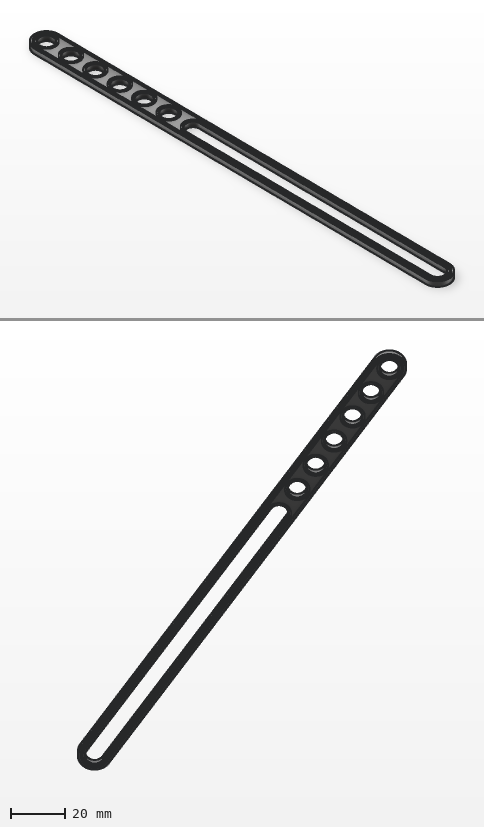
import cadquery as cq

LENGTH = 212.5
THICKNESS = 3.2
PITCHES_PER_LENGTH = 17
HOLE_COUNT = 6
HOLE_DIAMETER = 7.0
RIM_DIAMETER = 9.1
BORDER_WIDTH = 1.1
RECESS_DEPTH = 0.32
EDGE_CHAMFER = 0.32

PITCH = LENGTH / PITCHES_PER_LENGTH
WIDTH = PITCH
FIRST_HOLE_X = (PITCH - LENGTH) / 2
HOLE_CENTERS = [(FIRST_HOLE_X + i * PITCH, 0) for i in range(HOLE_COUNT)]

SLOT_START_X = FIRST_HOLE_X + HOLE_COUNT * PITCH
SLOT_END_X = -FIRST_HOLE_X
SLOT_CENTER_X = (SLOT_START_X + SLOT_END_X) / 2
SLOT_CENTER_DISTANCE = SLOT_END_X - SLOT_START_X


def bar_shape(inset, height):
    """Bar outline with full-round ends, moved inward by inset and extruded up from Z = 0."""
    return cq.Workplane("XY").slot2D(LENGTH - 2 * inset, WIDTH - 2 * inset).extrude(height)


def openings(diameter, height):
    """The row of holes and the long slot, all of one diameter, extruded up from Z = 0."""
    holes = cq.Workplane("XY").pushPoints(HOLE_CENTERS).circle(diameter / 2).extrude(height)
    slot = (
        cq.Workplane("XY")
        .center(SLOT_CENTER_X, 0)
        .slot2D(SLOT_CENTER_DISTANCE + diameter, diameter)
        .extrude(height)
    )
    return holes.union(slot)


def drilled_bar():
    """Full-thickness bar with its openings, all rims chamfered on both faces."""
    bar = bar_shape(0, THICKNESS).cut(openings(HOLE_DIAMETER, THICKNESS))
    return bar.faces("<Z or >Z").edges().chamfer(EDGE_CHAMFER)


def web_recess():
    """Shallow pocket that leaves the border and the opening rims standing."""
    return bar_shape(BORDER_WIDTH, RECESS_DEPTH).cut(openings(RIM_DIAMETER, RECESS_DEPTH))


bottom_recess = web_recess()
top_recess = bottom_recess.translate((0, 0, THICKNESS - RECESS_DEPTH))
result = drilled_bar().cut(bottom_recess).cut(top_recess)